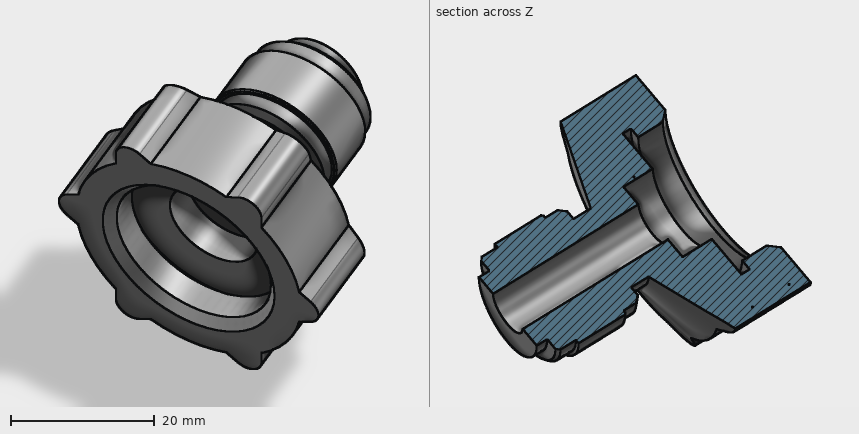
import cadquery as cq
import math


wheel_radius = 18.0
rim_height = 13.95
rib_count = 6
rib_reach = 20.8
rib_tip_radius = 2.55
rib_flank_angle = 30.0
envelope_margin = 0.4

neck_radius = 13.8 / 2
shoulder_top = 17.8
neck_top = 20.7

collar_radius = 18.7 / 2
collar_top = 35.2
collar_lower_chamfer = 0.95
collar_upper_chamfer = 0.5
ring_radius = 20.0 / 2
ring_bottom = 23.8
ring_top = 32.05
ring_chamfer = 0.25

stub_half_width = neck_radius
stub_half_height = 8.2
overall_length = 37.0

mouth_radius = 27.55 / 2
throat_radius = 24.7 / 2
throat_start = 1.45
throat_end = 5.7
relief_radius = 28.2 / 2
socket_depth = 7.05
bore_radius = 14.0 / 2
bore_depth = 12.02
hole_radius = 7.0 / 2


def turned(points):
    """Revolve a closed (radius, Y) outline about the Y axis."""
    return cq.Workplane("XY").polyline(points).close().revolve(360, (0, 0), (0, 1))


def disc(radius, height):
    """Solid cylinder rising along Y from the open end."""
    return cq.Workplane("XZ").circle(radius).extrude(-height)


def rib():
    """Grip rib pointing along +X: straight flanks tangent to a round tip."""
    flank = math.radians(rib_flank_angle)
    tip_center = rib_reach - rib_tip_radius
    tangent_x = tip_center + rib_tip_radius * math.sin(flank)
    tangent_z = rib_tip_radius * math.cos(flank)
    root_x = wheel_radius * math.cos(flank)
    root_z = tangent_z + (tangent_x - root_x) * math.tan(flank)
    return (
        cq.Workplane("XZ")
        .moveTo(0, 0)
        .lineTo(root_x, root_z)
        .lineTo(tangent_x, tangent_z)
        .threePointArc((rib_reach, 0), (tangent_x, -tangent_z))
        .lineTo(root_x, -root_z)
        .close()
        .extrude(-rim_height)
    )


def wheel():
    """Ribbed wheel, with the shoulder cone continued across the rib ends."""
    slope = (shoulder_top - rim_height) / (wheel_radius - neck_radius)
    envelope_radius = rib_reach + envelope_margin
    envelope_edge = rim_height - slope * (envelope_radius - wheel_radius)
    envelope = turned([
        (0, 0),
        (envelope_radius, 0),
        (envelope_radius, envelope_edge),
        (neck_radius, shoulder_top),
        (0, shoulder_top),
    ])
    blank = disc(wheel_radius, shoulder_top)
    for index in range(rib_count):
        blank = blank.union(rib().rotate((0, 0, 0), (0, 1, 0), index * 360 / rib_count))
    return blank.intersect(envelope)


def connector():
    """Neck, chamfered collar and raised ring in one turned outline."""
    return turned([
        (0, rim_height),
        (neck_radius, rim_height),
        (neck_radius, neck_top),
        (collar_radius - collar_lower_chamfer, neck_top),
        (collar_radius, neck_top + collar_lower_chamfer),
        (collar_radius, ring_bottom),
        (ring_radius - ring_chamfer, ring_bottom),
        (ring_radius, ring_bottom + ring_chamfer),
        (ring_radius, ring_top),
        (collar_radius, ring_top),
        (collar_radius, collar_top - collar_upper_chamfer),
        (collar_radius - collar_upper_chamfer, collar_top),
        (0, collar_top),
    ])


def stub():
    """Oval end stub, taller along Z than it is wide along X."""
    return (
        cq.Workplane("XZ", origin=(0, collar_top, 0))
        .ellipse(stub_half_width, stub_half_height)
        .extrude(collar_top - overall_length)
    )


def socket():
    """Countersunk mouth, straight throat, relief groove, blind bore and through hole."""
    return turned([
        (0, 0),
        (mouth_radius, 0),
        (throat_radius, throat_start),
        (throat_radius, throat_end),
        (relief_radius, throat_end),
        (relief_radius, socket_depth),
        (bore_radius, socket_depth),
        (bore_radius, bore_depth),
        (hole_radius, bore_depth),
        (hole_radius, overall_length),
        (0, overall_length),
    ])


result = wheel().union(connector()).union(stub()).cut(socket())